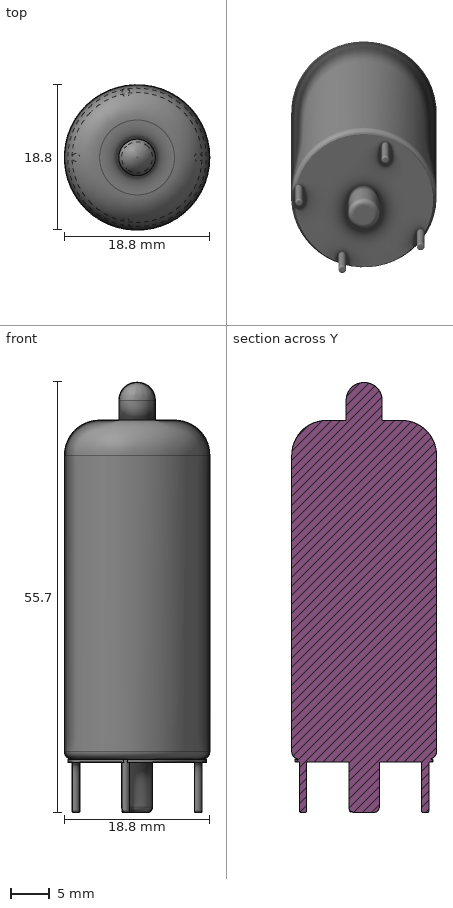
import cadquery as cq

total_height = 55.65
base_bottom = 6.5
bulb_bottom = 6.9
bulb_top = 50.75

bulb_diameter = 18.8
bulb_bottom_fillet = 1.0
bulb_top_fillet = 4.55
base_diameter = 17.9

nipple_diameter = 4.75
nipple_rounding = 2.35

spigot_diameter = 4.0
spigot_fillet = 0.7

pin_diameter = 1.0
pin_fillet = 0.2
pin_x = 7.9
pair_offset_x = -1.45
pair_y = 8.4
pin_positions = [
    (-pin_x, 0),
    (pin_x, 0),
    (pair_offset_x, -pair_y),
    (pair_offset_x, pair_y),
]


def cylinder(diameter, bottom, top):
    """Upright cylinder on the Z axis between two heights."""
    return cq.Workplane("XY").workplane(offset=bottom).circle(diameter / 2).extrude(top - bottom)


def make_bulb():
    """Cylindrical bulb with a large rounded shoulder and a small lower fillet."""
    bulb = cylinder(bulb_diameter, bulb_bottom, bulb_top)
    bulb = bulb.faces("<Z").edges().fillet(bulb_bottom_fillet)
    return bulb.faces(">Z").edges().fillet(bulb_top_fillet)


def make_nipple():
    nipple = cylinder(nipple_diameter, bulb_top - bulb_top_fillet, total_height)
    return nipple.faces(">Z").edges().fillet(nipple_rounding)


def make_spigot():
    spigot = cylinder(spigot_diameter, 0, bulb_bottom)
    return spigot.faces("<Z").edges().fillet(spigot_fillet)


def make_pin(position):
    pin = cylinder(pin_diameter, 0, bulb_bottom)
    pin = pin.faces("<Z").edges().fillet(pin_fillet)
    return pin.translate((*position, 0))


result = make_bulb().union(cylinder(base_diameter, base_bottom, bulb_bottom))
result = result.union(make_nipple()).union(make_spigot())
for pin_position in pin_positions:
    result = result.union(make_pin(pin_position))